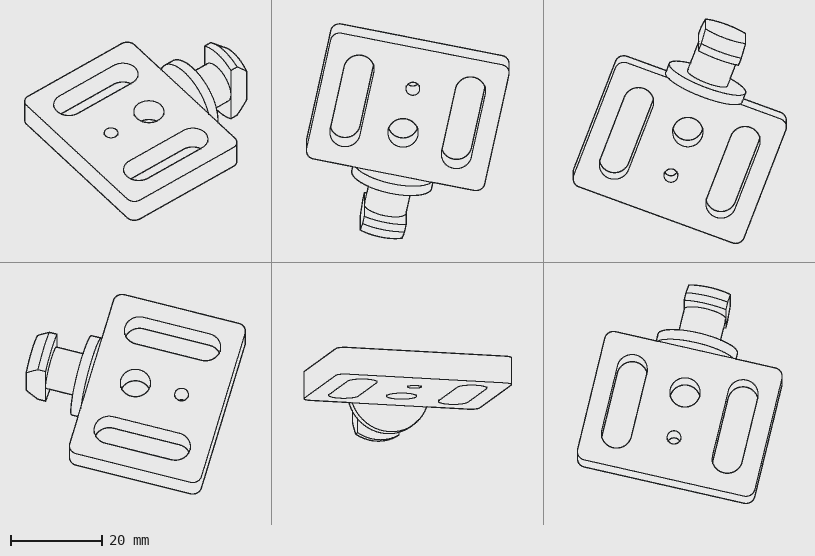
import cadquery as cq

plate_width = 40.0
plate_length = 30.0
plate_thickness = 6.0
corner_radius = 2.0

slot_width = 6.63
slot_length = 21.65
slot_spacing = 25.0
large_hole_diameter = 6.63
large_hole_setback = 10.0
small_hole_diameter = 3.0
small_hole_setback = 20.5

stud_diameter = 18.0
flange_thickness = 2.25
neck_diameter = 9.4
neck_length = 6.9
overall_length = 43.6
head_length = overall_length - plate_length - flange_thickness - neck_length
head_straight_length = 1.75
head_tip_diameter = 13.0


def make_plate():
    plate = (
        cq.Workplane("XY")
        .box(plate_width, plate_length, plate_thickness)
        .edges("|Z")
        .fillet(corner_radius)
    )
    plate = (
        plate.faces(">Z")
        .workplane()
        .pushPoints([(-slot_spacing / 2, 0), (slot_spacing / 2, 0)])
        .slot2D(slot_length, slot_width, 90)
        .cutThruAll()
    )
    for diameter, setback in (
        (large_hole_diameter, large_hole_setback),
        (small_hole_diameter, small_hole_setback),
    ):
        plate = (
            plate.faces(">Z")
            .workplane(origin=(0, plate_length / 2 - setback, 0))
            .hole(diameter)
        )
    return plate.translate((0, -plate_length / 2, 0))


def cylinder_along_y(diameter, start, length):
    return (
        cq.Workplane("XZ", origin=(0, start, 0))
        .circle(diameter / 2)
        .extrude(-length)
    )


def make_head(start):
    """Disc with a conical tip, trimmed to the neck width by two flats."""
    end = start + head_length
    head = (
        cq.Workplane("XY")
        .moveTo(0, start)
        .lineTo(stud_diameter / 2, start)
        .lineTo(stud_diameter / 2, start + head_straight_length)
        .lineTo(head_tip_diameter / 2, end)
        .lineTo(0, end)
        .close()
        .revolve(360, (0, 0, 0), (0, 1, 0))
    )
    flats = cq.Workplane("XY").box(neck_diameter, 2 * end, stud_diameter)
    return head.intersect(flats)


flange = cylinder_along_y(stud_diameter, 0, flange_thickness)
neck = cylinder_along_y(neck_diameter, flange_thickness, neck_length)
head = make_head(flange_thickness + neck_length)

result = make_plate().union(flange).union(neck).union(head)